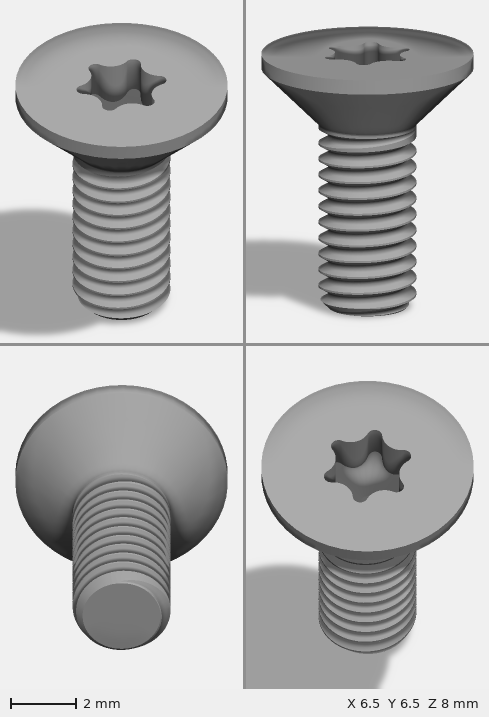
import cadquery as cq
import math


total_length = 8.0
head_diameter = 6.5
head_rim_height = 0.45
thread_diameter = 3.0
neck_fillet = 0.07

head_radius = head_diameter / 2
thread_radius = thread_diameter / 2
tip_z = -total_length
cone_end_z = -head_rim_height - (head_radius - thread_radius)

pitch = 0.5
flank_angle = math.radians(30)
sharp_height = pitch / 2 / math.tan(flank_angle)
root_round = sharp_height / 6
thread_depth = sharp_height * 17 / 24
root_radius = thread_radius - thread_depth
cutter_overhang = 0.03
full_thread_length = 5.46
full_thread_end_z = tip_z + full_thread_length
thread_turns = 12
runout_angle = 146.0

lobe_count = 6
lobe_tip_radius = 1.4
valley_radius = 1.0
lobe_round = 0.229
recess_valley_depth = 1.34
recess_floor_angle = 30.0
recess_flat_radius = 0.195


def make_blank():
    """Revolved head and shank with a chamfered tip."""
    outline = (
        cq.Workplane("XZ")
        .lineTo(head_radius, 0)
        .lineTo(head_radius, -head_rim_height)
        .lineTo(thread_radius, cone_end_z)
        .lineTo(thread_radius, tip_z + thread_depth)
        .lineTo(root_radius, tip_z)
        .lineTo(0, tip_z)
        .close()
    )
    blank = outline.revolve(360, (0, 0, 0), (0, 1, 0))
    neck = cq.selectors.BoxSelector(
        (-head_radius, -head_radius, cone_end_z - neck_fillet),
        (head_radius, head_radius, cone_end_z + neck_fillet),
    )
    return blank.edges("%CIRCLE").edges(neck).fillet(neck_fillet)


def sweep_groove(helix, start_z):
    """Sweep the V-shaped thread cutter along a helix that starts on the +X side."""
    outer_radius = thread_radius + cutter_overhang
    tangent_radius = root_radius + root_round * (1 - math.sin(flank_angle))
    half_arc = root_round * math.cos(flank_angle)
    half_mouth = half_arc + (outer_radius - tangent_radius) * math.tan(flank_angle)
    profile = (
        cq.Workplane("XZ")
        .moveTo(tangent_radius, start_z - half_arc)
        .lineTo(outer_radius, start_z - half_mouth)
        .lineTo(outer_radius, start_z + half_mouth)
        .lineTo(tangent_radius, start_z + half_arc)
        .threePointArc((root_radius, start_z), (tangent_radius, start_z - half_arc))
        .close()
    )
    path = cq.Workplane(helix.translate(cq.Vector(0, 0, start_z)))
    return profile.sweep(path, isFrenet=True)


def make_thread_groove():
    """Full-depth groove from below the tip up to the start of the run-out."""
    height = thread_turns * pitch
    helix = cq.Wire.makeHelix(pitch, height, root_radius)
    return sweep_groove(helix, full_thread_end_z - height)


def make_runout_groove():
    """Last part of the groove, which climbs a cone until it leaves the shank."""
    turns = runout_angle / 360
    rise = turns * pitch
    cone_angle = math.atan2(thread_depth, rise)
    slant_pitch = pitch / math.cos(cone_angle)
    helix = cq.Wire.makeHelix(
        slant_pitch, turns * slant_pitch, root_radius, angle=math.degrees(cone_angle)
    )
    return sweep_groove(helix, full_thread_end_z)


def polar(radius, angle):
    """Point in the XY plane at a radius and an angle in radians."""
    return (radius * math.cos(angle), radius * math.sin(angle))


def make_recess():
    """Six-lobe socket of tangent arcs, ending in a conical floor with a flat centre."""
    half_step = math.pi / lobe_count
    lobe_centre = lobe_tip_radius - lobe_round
    reach = lobe_centre * math.cos(half_step)
    gap_squared = lobe_centre**2 + valley_radius**2 - 2 * valley_radius * reach
    valley_round = (gap_squared - lobe_round**2) / (2 * (lobe_round + reach - valley_radius))
    valley_centre = valley_radius + valley_round

    share = lobe_round / (lobe_round + valley_round)
    valley_x, valley_y = polar(valley_centre, half_step)
    joint_x = lobe_centre + share * (valley_x - lobe_centre)
    joint_y = share * valley_y
    joint_radius = math.hypot(joint_x, joint_y)
    joint_angle = math.atan2(joint_y, joint_x)

    star = cq.Workplane("XY").moveTo(*polar(joint_radius, -joint_angle))
    for lobe in range(lobe_count):
        lobe_angle = 2 * half_step * lobe
        next_angle = lobe_angle + 2 * half_step
        star = star.threePointArc(
            polar(lobe_tip_radius, lobe_angle), polar(joint_radius, lobe_angle + joint_angle)
        )
        star = star.threePointArc(
            polar(valley_radius, lobe_angle + half_step), polar(joint_radius, next_angle - joint_angle)
        )

    floor_slope = math.tan(math.radians(recess_floor_angle))
    floor_depth = recess_valley_depth + (valley_radius - recess_flat_radius) * floor_slope
    envelope_radius = lobe_tip_radius + lobe_round
    envelope_depth = floor_depth - (envelope_radius - recess_flat_radius) * floor_slope
    envelope = (
        cq.Workplane("XZ")
        .lineTo(envelope_radius, 0)
        .lineTo(envelope_radius, -envelope_depth)
        .lineTo(recess_flat_radius, -floor_depth)
        .lineTo(0, -floor_depth)
        .close()
        .revolve(360, (0, 0, 0), (0, 1, 0))
    )
    return star.close().extrude(-floor_depth).intersect(envelope)


screw = make_blank().cut(make_recess())
screw = screw.cut(make_thread_groove())
result = screw.cut(make_runout_groove())